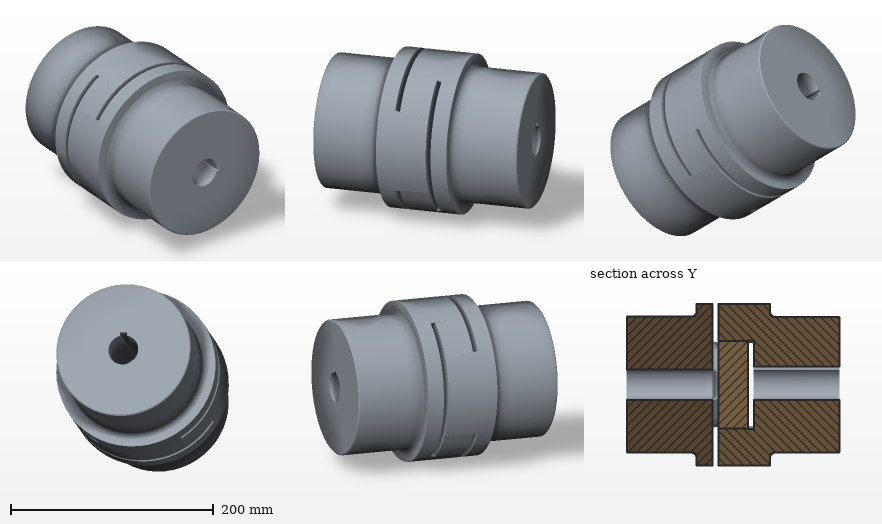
import cadquery as cq
import math

length = 210.0
hub_radius = 67.5
flange_radius = 80.0
flange_back = 36.3
neck_fillet = 4.6
end_chamfer = 1.0

bore_radius = 15.0
key_width = 7.0
key_top = 17.8

spider_thickness = 30.0
jaw_clearance = 5.0
core_radius = 43.5
leg_end_width = 35.7
leg_crown = 2.62
leg_angles = (45, 135)

jaw_tip = spider_thickness / 2
jaw_root = jaw_tip + jaw_clearance


def disc(radius, x_start, x_end):
    """Solid cylinder about the X axis."""
    return cq.Workplane("YZ").workplane(offset=x_start).circle(radius).extrude(x_end - x_start)


def leg_bar(angle):
    """Bar across the full diameter with both flanks crowned along X."""
    half_width = leg_end_width / 2
    crown = half_width + leg_crown
    bar = (
        cq.Workplane("XY")
        .moveTo(-jaw_root, -half_width)
        .threePointArc((0, -crown), (jaw_root, -half_width))
        .lineTo(jaw_root, half_width)
        .threePointArc((0, crown), (-jaw_root, half_width))
        .close()
        .extrude(flange_radius + crown, both=True)
    )
    return bar.rotate((0, 0, 0), (1, 0, 0), angle)


def make_jaws():
    """Two opposite jaws on +Z and -Z, filling the spaces between the legs."""
    ring = disc(flange_radius, -jaw_root, jaw_tip).cut(disc(core_radius, -jaw_root, jaw_tip))
    reach = 2 * flange_radius
    for side in (1, -1):
        quarter = (
            cq.Workplane("YZ")
            .polyline([(0, 0), (side * reach, reach), (side * reach, -reach)])
            .close()
            .extrude(jaw_root, both=True)
        )
        ring = ring.cut(quarter)
    for angle in leg_angles:
        ring = ring.cut(leg_bar(angle))
    return ring


def make_hub():
    """Hub on the -X side with its flange, jaws and keyed bore."""
    outer_end = -length / 2
    blend_mid = neck_fillet * (1 - math.sqrt(0.5))
    body = (
        cq.Workplane("XY")
        .moveTo(outer_end, 0)
        .lineTo(outer_end, hub_radius - end_chamfer)
        .lineTo(outer_end + end_chamfer, hub_radius)
        .lineTo(-flange_back - neck_fillet, hub_radius)
        .threePointArc(
            (-flange_back - blend_mid, hub_radius + blend_mid),
            (-flange_back, hub_radius + neck_fillet),
        )
        .lineTo(-flange_back, flange_radius)
        .lineTo(-jaw_root, flange_radius)
        .lineTo(-jaw_root, 0)
        .close()
        .revolve(360, (0, 0, 0), (1, 0, 0))
    )
    bore = disc(bore_radius, outer_end, -jaw_root)
    keyway = (
        cq.Workplane("YZ")
        .workplane(offset=outer_end)
        .center(0, key_top / 2)
        .rect(key_width, key_top)
        .extrude(-jaw_root - outer_end)
    )
    return body.union(make_jaws()).cut(bore).cut(keyway)


def make_spider():
    """Solid core with four crowned legs reaching the flange diameter."""
    spider = disc(core_radius, -jaw_tip, jaw_tip)
    envelope = disc(flange_radius, -jaw_tip, jaw_tip)
    for angle in leg_angles:
        spider = spider.union(leg_bar(angle).intersect(envelope))
    return spider


spider = make_spider()

hubs = []
for turn in (0, 180):
    hubs.append(make_hub().rotate((0, 0, 0), (0, 1, 1), turn))

result = cq.Compound.makeCompound([spider.solids().val(), *[hub.solids().val() for hub in hubs]])